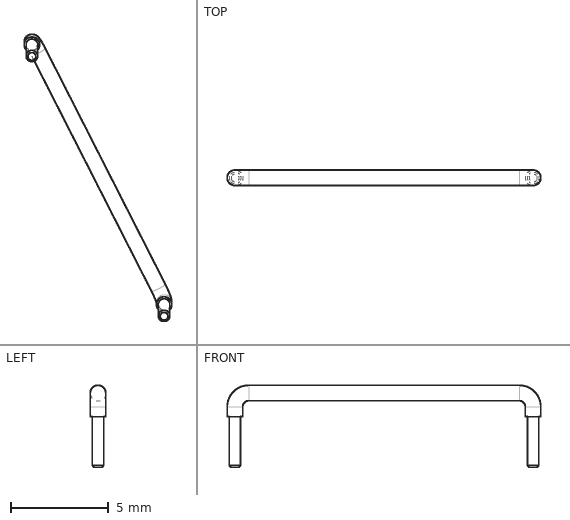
import cadquery as cq

overall_length = 16.04
overall_height = 4.2

sheath_diameter = 0.8
bend_radius = 0.7
collar_height = 0.5

pin_diameter = 0.6
tip_chamfer = 0.1

leg_x = (overall_length - sheath_diameter) / 2
bar_z = overall_height - sheath_diameter / 2
bend_x = leg_x - bend_radius
bend_z = bar_z - bend_radius
sheath_bottom_z = bend_z - collar_height
pin_length = sheath_bottom_z


def make_sheath():
    """Sweep the round section up one leg, along the bar and down the other leg."""
    centreline = (
        cq.Workplane("XZ")
        .moveTo(-leg_x, sheath_bottom_z)
        .lineTo(-leg_x, bend_z)
        .radiusArc((-bend_x, bar_z), bend_radius)
        .lineTo(bend_x, bar_z)
        .radiusArc((leg_x, bend_z), bend_radius)
        .lineTo(leg_x, sheath_bottom_z)
    )
    return (
        cq.Workplane("XY", origin=(-leg_x, 0, sheath_bottom_z))
        .circle(sheath_diameter / 2)
        .sweep(centreline)
    )


def make_pin(x):
    """Round pin with a chamfered lower tip, butting against the sheath end."""
    return (
        cq.Workplane("XY", origin=(x, 0, 0))
        .circle(pin_diameter / 2)
        .extrude(pin_length)
        .faces("<Z")
        .chamfer(tip_chamfer)
    )


sheath = make_sheath()
pins = [make_pin(x) for x in (-leg_x, leg_x)]

result = cq.Compound.makeCompound([sheath.val(), *[pin.val() for pin in pins]])